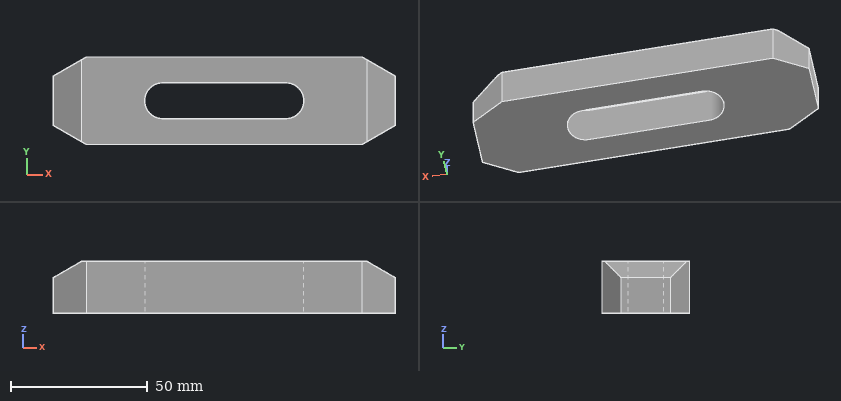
import cadquery as cq
import math

length = 125.0
width = 32.0
height = 19.0

nose_width = 18.0
nose_height = 13.0
taper_angle = math.radians(30)
side_taper_length = (width - nose_width) / 2 / math.tan(taper_angle)
top_taper_length = (height - nose_height) / math.tan(taper_angle)

slot_length = 58.0
slot_width = 13.0


def plan_prism():
    """Bar with the four vertical corners tapered toward the ends."""
    half_length = length / 2
    half_width = width / 2
    half_nose = nose_width / 2
    shoulder_x = half_length - side_taper_length
    outline = [
        (-half_length, -half_nose),
        (-shoulder_x, -half_width),
        (shoulder_x, -half_width),
        (half_length, -half_nose),
        (half_length, half_nose),
        (shoulder_x, half_width),
        (-shoulder_x, half_width),
        (-half_length, half_nose),
    ]
    return cq.Workplane("XY").polyline(outline).close().extrude(height)


def side_prism():
    """Side profile with the top sloping down to both ends, as wide as the bar."""
    half_length = length / 2
    top_edge_x = half_length - top_taper_length
    profile = [
        (-half_length, 0),
        (half_length, 0),
        (half_length, nose_height),
        (top_edge_x, height),
        (-top_edge_x, height),
        (-half_length, nose_height),
    ]
    return cq.Workplane("XZ").polyline(profile).close().extrude(width / 2, both=True)


def clamping_slot():
    return cq.Workplane("XY").slot2D(slot_length, slot_width).extrude(height)


result = plan_prism().intersect(side_prism()).cut(clamping_slot())